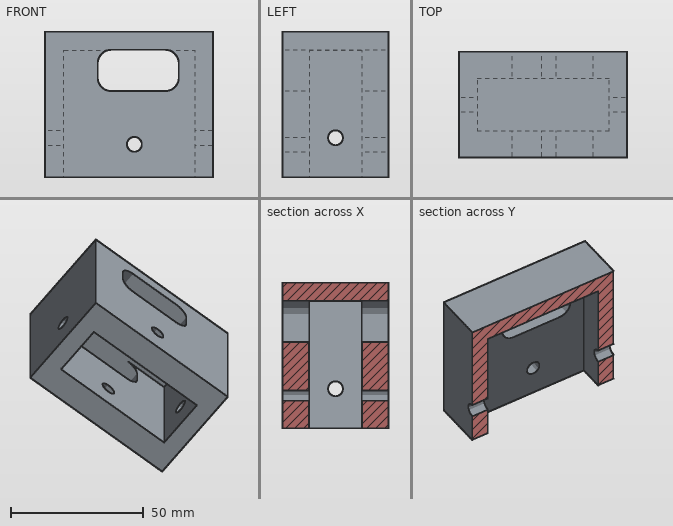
import cadquery as cq

length = 63.45
depth = 40.0
height = 55.0

side_wall = 10.0
end_wall = 7.0
roof = end_wall

window_width = 30.45
window_height = 15.5
window_corner_radius = 5.0
window_center_x = 35.2
window_center_z = 40.35

hole_diameter = 5.5
y_hole_x = 33.75
y_hole_z = 12.5
x_hole_y = depth / 2
x_hole_z = 15.0


def make_cavity():
    """Rectangular cavity rising from the bottom face to the roof."""
    return (
        cq.Workplane("XY")
        .box(length - 2 * end_wall, depth - 2 * side_wall, height - roof, centered=False)
        .translate((end_wall, side_wall, 0))
    )


def make_window():
    """Rounded rectangular prism running the full depth of the block."""
    return (
        cq.Workplane("XY")
        .box(window_width, depth, window_height)
        .edges("|Y")
        .fillet(window_corner_radius)
        .translate((window_center_x, depth / 2, window_center_z))
    )


def make_hole(start, direction, hole_length):
    """Round cutter from a start point along a direction."""
    cutter = cq.Solid.makeCylinder(
        hole_diameter / 2, hole_length, cq.Vector(*start), cq.Vector(*direction)
    )
    return cq.Workplane(cutter)


block = cq.Workplane("XY").box(length, depth, height, centered=False)
hole_along_y = make_hole((y_hole_x, 0, y_hole_z), (0, 1, 0), depth)
hole_along_x = make_hole((0, x_hole_y, x_hole_z), (1, 0, 0), length)

housing = block.cut(make_cavity())
result = housing.cut(make_window()).cut(hole_along_y).cut(hole_along_x)